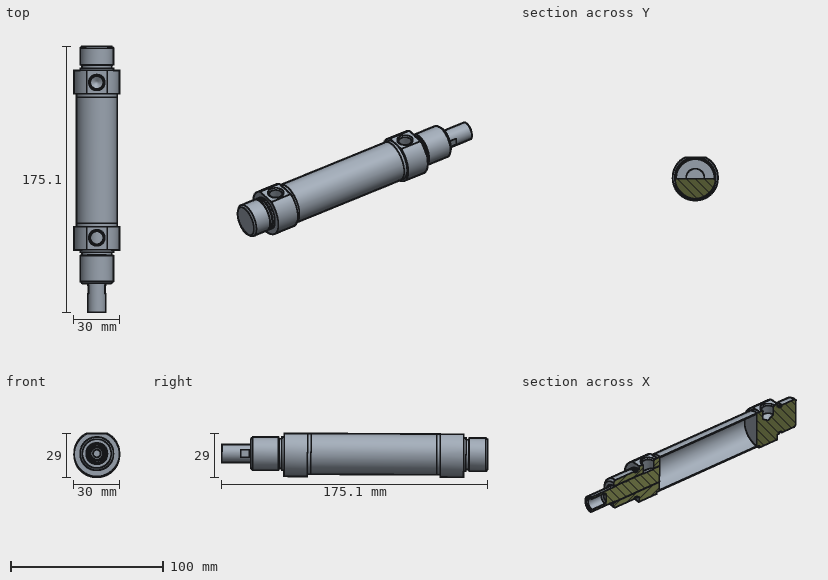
import cadquery as cq
import math

total_length = 175.0
tilt_angle = -0.27

head_diameter = 30.0
tube_diameter = 27.0
tube_bore = 25.0
thread_diameter = 22.0
undercut_diameter = 19.7
rod_diameter = 12.0

head_length = 15.4
lip_length = 2.3
collar_length = 1.5
undercut_length = 1.8
undercut_slope = 0.45
rear_thread_length = 12.1
rear_chamfer = 1.25
nose_chamfer = 1.5
rod_extension = 19.0
nose_length = 22.0

nose_face = rod_extension
front_head_start = nose_face + nose_length
front_head_end = front_head_start + head_length
tube_start = front_head_end + lip_length
rear_head_end = total_length - rear_thread_length - undercut_length - undercut_slope - collar_length
rear_head_start = rear_head_end - head_length
tube_end = rear_head_start - lip_length

flat_height = 13.4
port_diameter = 8.57
port_offset = 8.0
port_mouth_diameter = 10.5
port_mouth_depth = (port_mouth_diameter - port_diameter) / 2
rear_port_depth = 7.0
front_port_depth = flat_height
drill_point_angle = 118.0

recess_diameter = 14.1
recess_floor_diameter = 13.1
recess_taper_length = 0.5
recess_depth = 2.0

wrench_width = 11.0
wrench_flat_length = 5.6
wrench_flat_start = 12.4
hole_mouth_diameter = 9.6
hole_diameter = 8.0
hole_bottom_diameter = 5.0
hole_depth = 12.0


def revolved(outline):
    """Turn an outline of (radius, y) points about the Y axis."""
    return cq.Workplane("XY").polyline(outline).close().revolve(360, (0, 0, 0), (0, 1, 0))


def drill_point_length(start_diameter, end_diameter=0):
    """Length of a drill point that narrows from one diameter to another."""
    return (start_diameter - end_diameter) / 2 / math.tan(math.radians(drill_point_angle / 2))


def port_cutter(y, depth):
    """Chamfered drilled hole that goes down from the flat; its straight part ends at the depth."""
    radius = port_diameter / 2
    bottom = flat_height - depth
    outline = [
        (0, flat_height),
        (port_mouth_diameter / 2, flat_height),
        (radius, flat_height - port_mouth_depth),
        (radius, bottom),
        (0, bottom - drill_point_length(port_diameter)),
    ]
    hole = cq.Workplane("XZ").polyline(outline).close().revolve(360, (0, 0, 0), (0, 1, 0))
    return hole.translate((0, y, 0))


def head_with_end(end_direction, head_face, end_length, end_chamfer, port_depth):
    """Head with its port, undercut thread and tube lip; the thread points along end_direction."""
    thread_radius = thread_diameter / 2
    undercut_radius = undercut_diameter / 2
    undercut_from = collar_length
    undercut_to = undercut_from + undercut_length
    outline = [
        (0, -head_length - lip_length),
        (tube_diameter / 2, -head_length - lip_length),
        (tube_diameter / 2, -head_length),
        (head_diameter / 2, -head_length),
        (head_diameter / 2, 0),
        (thread_radius, 0),
        (thread_radius, undercut_from),
        (undercut_radius, undercut_from),
        (undercut_radius, undercut_to),
        (thread_radius, undercut_to + undercut_slope),
        (thread_radius, end_length - end_chamfer),
        (thread_radius - end_chamfer, end_length),
        (0, end_length),
    ]
    body = revolved([(radius, head_face + end_direction * along) for radius, along in outline])
    middle = head_face - end_direction * head_length / 2
    above_flat = cq.Workplane("XY").box(head_diameter, head_length, head_diameter)
    body = body.cut(above_flat.translate((0, middle, flat_height + head_diameter / 2)))
    port_y = head_face - end_direction * port_offset
    return body.cut(port_cutter(port_y, port_depth))


def build_front_head():
    body = head_with_end(-1, front_head_start, nose_length, nose_chamfer, front_port_depth)
    rod_bore = revolved([
        (0, nose_face),
        (recess_diameter / 2, nose_face),
        (recess_floor_diameter / 2, nose_face + recess_taper_length),
        (recess_floor_diameter / 2, nose_face + recess_depth),
        (rod_diameter / 2, nose_face + recess_depth),
        (rod_diameter / 2, tube_start),
        (0, tube_start),
    ])
    return body.cut(rod_bore)


def build_rear_head():
    end_length = total_length - rear_head_end
    return head_with_end(1, rear_head_end, end_length, rear_chamfer, rear_port_depth)


def build_tube():
    return revolved([
        (tube_bore / 2, tube_start),
        (tube_diameter / 2, tube_start),
        (tube_diameter / 2, tube_end),
        (tube_bore / 2, tube_end),
    ])


def build_rod():
    mouth_depth = (hole_mouth_diameter - hole_diameter) / 2
    point_depth = drill_point_length(hole_diameter, hole_bottom_diameter)
    rod = revolved([
        (hole_mouth_diameter / 2, 0),
        (rod_diameter / 2, 0),
        (rod_diameter / 2, tube_start),
        (0, tube_start),
        (0, hole_depth + point_depth),
        (hole_bottom_diameter / 2, hole_depth + point_depth),
        (hole_diameter / 2, hole_depth),
        (hole_diameter / 2, mouth_depth),
    ])
    for side in (-1, 1):
        beside_flat = cq.Workplane("XY").box(wrench_width, wrench_flat_length, rod_diameter)
        middle = wrench_flat_start + wrench_flat_length / 2
        rod = rod.cut(beside_flat.translate((side * wrench_width, middle, 0)))
    return rod


def tilted(body):
    return body.translate((0, -total_length / 2, 0)).rotate((0, 0, 0), (1, 0, 0), tilt_angle)


front_head = tilted(build_front_head())
rear_head = tilted(build_rear_head())
tube = tilted(build_tube())
rod = tilted(build_rod())

result = cq.Compound.makeCompound([front_head.val(), rear_head.val(), tube.val(), rod.val()])